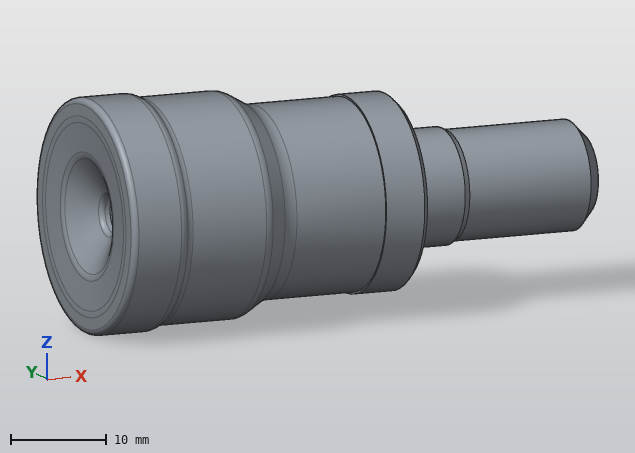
import cadquery as cq
import math


TOTAL_LENGTH = 57.0
FLANGE_FACE_X = 29.9
FLANGE_LENGTH = 4.95

HEAD_RADIUS = 25.0 / 2
BARREL_RADIUS = 24.0 / 2
WAIST_RADIUS = 20.6 / 2
HEAD_EDGE_FILLET = 0.6
HEAD_STRAIGHT_END = 5.55
HEAD_OUTER_BLEND = 0.85
HEAD_INNER_BLEND = 0.7
SHOULDER_START = 15.5
SHOULDER_ANGLE = math.radians(30)
SHOULDER_OUTER_BEND = 1.7
SHOULDER_INNER_BEND = 3.1

RIM_INNER_RADIUS = 10.6
DISH_OUTER_RADIUS = 9.9
DISH_ANGLE = math.radians(5)
DISH_INNER_RADIUS = 6.8
FUNNEL_OUTER_RADIUS = 6.1
FUNNEL_ANGLE = math.radians(30)
FUNNEL_INNER_RADIUS = 2.35
BORE_RADIUS = 2.0
BORE_DEPTH = 0.55

FLANGE_RADIUS = 21.0 / 2
FLANGE_CHAMFER = 0.55
NECK_RADIUS = 12.1 / 2
NECK_LENGTH = 0.45
PILOT_RADIUS = 12.5 / 2
PILOT_LEAD_IN = 0.85
PILOT_STRAIGHT_END = 40.85
PILOT_LEAD_OUT = 0.7
SHANK_RADIUS = 11.75 / 2
SHANK_CHAMFER = 1.55


def turned(profile):
    """Close an (X, radius) half profile and revolve it about the X axis."""
    return profile.close().revolve(360, (0, 0, 0), (1, 0, 0))


def bend(profile, start, radius, angle_in, angle_out):
    """Add an arc from start, turning between two tangent angles to the X axis.

    Returns the extended profile and the end point of the arc.
    """
    turn = 1 if angle_out > angle_in else -1

    def arc_point(angle):
        return (
            start[0] + turn * radius * (math.sin(angle) - math.sin(angle_in)),
            start[1] - turn * radius * (math.cos(angle) - math.cos(angle_in)),
        )

    end = arc_point(angle_out)
    return profile.threePointArc(arc_point((angle_in + angle_out) / 2), end), end


def front_recess(profile):
    """Draw from the bore floor on the axis out to the flat rim of the front face."""
    rim_blend = RIM_INNER_RADIUS - DISH_OUTER_RADIUS
    mouth_blend = DISH_INNER_RADIUS - FUNNEL_OUTER_RADIUS
    rim_bend = rim_blend / math.sin(DISH_ANGLE)
    mouth_bend = mouth_blend / (math.sin(FUNNEL_ANGLE) - math.sin(DISH_ANGLE))
    throat_bend = (FUNNEL_INNER_RADIUS - BORE_RADIUS) / (1 - math.sin(FUNNEL_ANGLE))

    dish_start = rim_bend * (1 - math.cos(DISH_ANGLE))
    dish_end = dish_start + (DISH_OUTER_RADIUS - DISH_INNER_RADIUS) * math.tan(DISH_ANGLE)
    funnel_start = dish_end + mouth_bend * (math.cos(DISH_ANGLE) - math.cos(FUNNEL_ANGLE))
    funnel_end = funnel_start + (FUNNEL_OUTER_RADIUS - FUNNEL_INNER_RADIUS) * math.tan(FUNNEL_ANGLE)
    bore_start = funnel_end + throat_bend * math.cos(FUNNEL_ANGLE)
    bore_floor = bore_start + BORE_DEPTH

    axial = math.pi
    funnel = math.pi / 2 + FUNNEL_ANGLE
    dish = math.pi / 2 + DISH_ANGLE
    rim = math.pi / 2
    profile = profile.moveTo(bore_floor, 0).lineTo(bore_floor, BORE_RADIUS)
    profile = profile.lineTo(bore_start, BORE_RADIUS)
    profile, _ = bend(profile, (bore_start, BORE_RADIUS), throat_bend, axial, funnel)
    funnel_mouth = (funnel_start, FUNNEL_OUTER_RADIUS)
    profile = profile.lineTo(*funnel_mouth)
    profile, _ = bend(profile, funnel_mouth, mouth_bend, funnel, dish)
    dish_rim = (dish_start, DISH_OUTER_RADIUS)
    profile = profile.lineTo(*dish_rim)
    profile, _ = bend(profile, dish_rim, rim_bend, dish, rim)
    return profile


def head_outline(profile):
    """Draw the rounded head and its S-shaped step down to the barrel."""
    edge_start = (0, HEAD_RADIUS - HEAD_EDGE_FILLET)
    profile = profile.lineTo(*edge_start)
    profile, _ = bend(profile, edge_start, HEAD_EDGE_FILLET, math.pi / 2, 0)

    blend_length = HEAD_OUTER_BLEND + HEAD_INNER_BLEND
    slope = 2 * math.atan((HEAD_RADIUS - BARREL_RADIUS) / blend_length)
    step_start = (HEAD_STRAIGHT_END, HEAD_RADIUS)
    profile = profile.lineTo(*step_start)
    profile, middle = bend(profile, step_start, HEAD_OUTER_BLEND / math.sin(slope), 0, -slope)
    profile, _ = bend(profile, middle, HEAD_INNER_BLEND / math.sin(slope), -slope, 0)
    return profile


def shoulder_outline(profile):
    """Draw the barrel and the blended conical shoulder down to the waist."""
    shoulder_start = (SHOULDER_START, BARREL_RADIUS)
    profile = profile.lineTo(*shoulder_start)
    profile, cone_start = bend(profile, shoulder_start, SHOULDER_OUTER_BEND, 0, -SHOULDER_ANGLE)
    cone_end_radius = WAIST_RADIUS + SHOULDER_INNER_BEND * (1 - math.cos(SHOULDER_ANGLE))
    cone_length = (cone_start[1] - cone_end_radius) / math.tan(SHOULDER_ANGLE)
    cone_end = (cone_start[0] + cone_length, cone_end_radius)
    profile = profile.lineTo(*cone_end)
    profile, _ = bend(profile, cone_end, SHOULDER_INNER_BEND, -SHOULDER_ANGLE, 0)
    return profile


def make_sleeve():
    profile = front_recess(cq.Workplane("XY"))
    profile = head_outline(profile)
    profile = shoulder_outline(profile)
    profile = profile.lineTo(FLANGE_FACE_X, WAIST_RADIUS).lineTo(FLANGE_FACE_X, 0)
    return turned(profile)


def make_stud():
    flange_end = FLANGE_FACE_X + FLANGE_LENGTH
    neck_end = flange_end + NECK_LENGTH
    profile = (
        cq.Workplane("XY")
        .moveTo(FLANGE_FACE_X, 0)
        .lineTo(FLANGE_FACE_X, FLANGE_RADIUS)
        .lineTo(flange_end - FLANGE_CHAMFER, FLANGE_RADIUS)
        .lineTo(flange_end, FLANGE_RADIUS - FLANGE_CHAMFER)
        .lineTo(flange_end, NECK_RADIUS)
        .lineTo(neck_end, NECK_RADIUS)
        .lineTo(neck_end + PILOT_LEAD_IN, PILOT_RADIUS)
        .lineTo(PILOT_STRAIGHT_END, PILOT_RADIUS)
        .lineTo(PILOT_STRAIGHT_END + PILOT_LEAD_OUT, SHANK_RADIUS)
        .lineTo(TOTAL_LENGTH - SHANK_CHAMFER, SHANK_RADIUS)
        .lineTo(TOTAL_LENGTH, SHANK_RADIUS - SHANK_CHAMFER)
        .lineTo(TOTAL_LENGTH, 0)
    )
    return turned(profile)


sleeve = make_sleeve()
stud = make_stud()

result = cq.Compound.makeCompound([sleeve.val(), stud.val()])